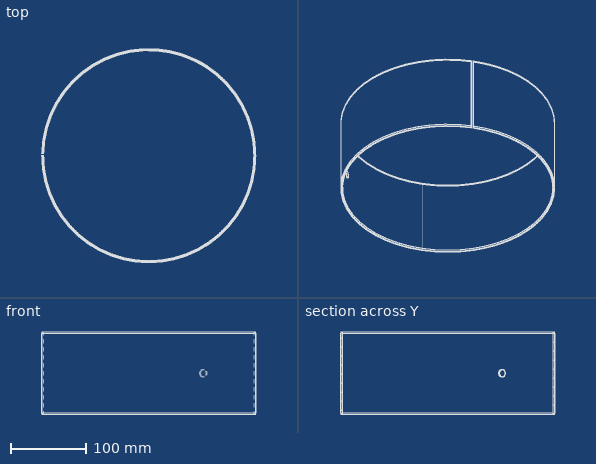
import cadquery as cq
import math

outer_diameter = 285.0
height = 110.0
wall = 2.5
rim_bevel_height = 2.0
rim_flat = 1.0
slit_width = 2.5
hole_diameter = 10.0
hole_angle = 59.0

outer_radius = outer_diameter / 2
inner_radius = outer_radius - wall
half_height = height / 2
rim_bevel_depth = (wall - rim_flat) / 2


def make_ring():
    """Revolve the wall section, bevelled inside and outside at both rims."""
    rim_outer_radius = outer_radius - rim_bevel_depth
    rim_inner_radius = inner_radius + rim_bevel_depth
    bevel_start = half_height - rim_bevel_height
    section = [
        (rim_inner_radius, -half_height),
        (rim_outer_radius, -half_height),
        (outer_radius, -bevel_start),
        (outer_radius, bevel_start),
        (rim_outer_radius, half_height),
        (rim_inner_radius, half_height),
        (inner_radius, bevel_start),
        (inner_radius, -bevel_start),
    ]
    return cq.Workplane("XZ").polyline(section).close().revolve(360, (0, 0, 0), (0, 1, 0))


def make_slit():
    """Full-height cut through the -X wall, with one face on the Y = 0 plane."""
    slit = cq.Workplane("XY").box(3 * wall, slit_width, height)
    return slit.translate((wall / 2 - outer_radius, slit_width / 2, 0))


def make_hole():
    """Radial hole through one wall, at mid height."""
    angle = math.radians(hole_angle)
    outward = cq.Vector(math.cos(angle), math.sin(angle), 0)
    start = outward * (inner_radius - wall)
    return cq.Workplane(cq.Solid.makeCylinder(hole_diameter / 2, 3 * wall, start, outward))


result = make_ring().cut(make_slit()).cut(make_hole())